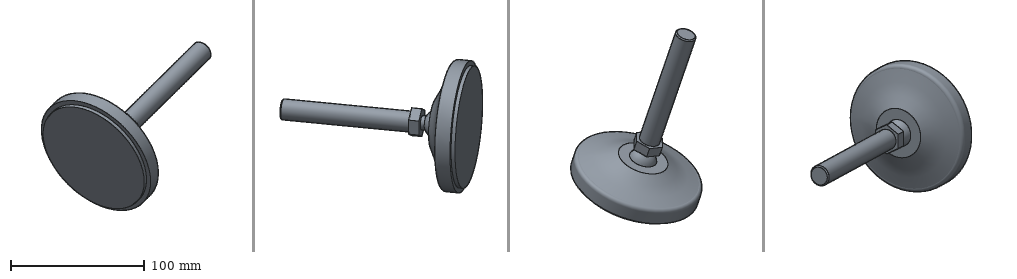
import cadquery as cq
import math

total_length = 144.0

pad_diameter = 92.5
pad_height = 3.0
base_diameter = 100.0
rim_top = 12.4
rim_rounding = 3.0
crown_diameter = 38.6
crown_height = 26.6
flare_mid_radius = 32.3
flare_mid_height = 20.2

ball_radius = 11.1
neck_diameter = 11.0
neck_start = 33.1

hex_start = 36.1
hex_height = 7.9
hex_across_flats = 20.0
stud_diameter = 16.0
stud_chamfer = 1.0


def cylinder(diameter, start, end):
    """Cylinder on the Y axis between two heights."""
    plane = cq.Workplane("XZ", origin=(0, start, 0))
    return plane.circle(diameter / 2).extrude(start - end)


def make_base():
    """Stepped disc with a rounded rim and a concave flare up to the crown."""
    pad_radius = pad_diameter / 2
    base_radius = base_diameter / 2
    shoulder_radius = base_radius - rim_rounding
    shoulder_height = rim_top + rim_rounding
    arc_offset = rim_rounding * math.sqrt(0.5)
    return (
        cq.Workplane("XY")
        .lineTo(pad_radius, 0)
        .lineTo(pad_radius, pad_height)
        .lineTo(base_radius, pad_height)
        .lineTo(base_radius, rim_top)
        .threePointArc(
            (shoulder_radius + arc_offset, rim_top + arc_offset),
            (shoulder_radius, shoulder_height),
        )
        .threePointArc((flare_mid_radius, flare_mid_height), (crown_diameter / 2, crown_height))
        .lineTo(0, crown_height)
        .close()
        .revolve(360, (0, 0, 0), (0, 1, 0))
    )


def make_ball():
    """Ball whose surface meets the neck at the neck's lower end."""
    center_height = neck_start - math.sqrt(ball_radius**2 - (neck_diameter / 2) ** 2)
    return cq.Workplane("XY").sphere(ball_radius).translate((0, center_height, 0))


def make_hexagon():
    """Hexagon with two flats facing +X and -X."""
    across_corners = hex_across_flats / math.cos(math.pi / 6)
    return (
        cq.Workplane("XZ", origin=(0, hex_start, 0))
        .transformed(rotate=(0, 0, 90))
        .polygon(6, across_corners)
        .extrude(-hex_height)
    )


neck = cylinder(neck_diameter, crown_height, hex_start)
stud = cylinder(stud_diameter, hex_start + hex_height, total_length).faces(">Y").chamfer(stud_chamfer)

result = make_base().union(make_ball()).union(neck).union(make_hexagon()).union(stud)